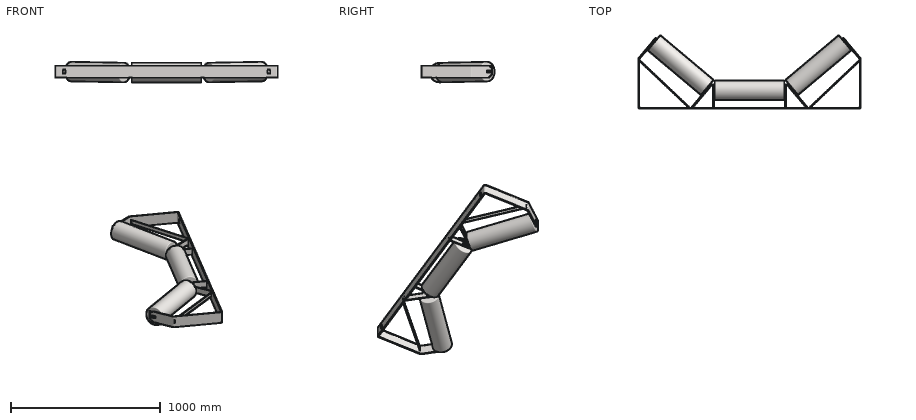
import cadquery as cq
import math

OVERALL_WIDTH = 1490.0
PLATE = 8.0
STRIP_HEIGHT = 80.0
BEND_RADIUS = 6.0

ROLLER_DIAMETER = 133.0
ROLLER_LENGTH = 465.0
ROLLER_EDGE_RADIUS = 5.0
END_GAP = 4.8

SHAFT_DEPTH = 25.0
SHAFT_FLATS = 15.0

TROUGH_ANGLE = 40.0
WING_TILT = 0.8
WING_X = 460.0
WING_Y = 292.0
WING_Z = -3.0
CENTER_Y = 124.0
CENTER_Z = -6.7

ARM_TIP = 33.0
TIP_CHAMFER_LENGTH = 27.0
TIP_CHAMFER_DEPTH = 22.0
TIP_CLEARANCE = 12.0
BRACKET_TOP_Y = 165.0
BRACKET_HEIGHT = 45.0
BRACKET_Z = -3.0

BRACE_HEIGHT = 30.0
BRACE_PLATE = 5.2
BRACE_TOP_Y = 328.0
BRACE_FOOT_X = 400.0

HOLE_X = 684.0
HOLE_WIDTH = 18.0
HOLE_LENGTH = 28.0

HALF_WIDTH = OVERALL_WIDTH / 2
PLATE_NEAR = ROLLER_LENGTH / 2 + END_GAP
PLATE_FAR = PLATE_NEAR + PLATE
COS_TROUGH = math.cos(math.radians(TROUGH_ANGLE))
SIN_TROUGH = math.sin(math.radians(TROUGH_ANGLE))


def wing_point(along, across):
    """XY point of the right wing: outward along the roller axis, then up across it."""
    x = WING_X + along * COS_TROUGH - across * SIN_TROUGH
    y = WING_Y + along * SIN_TROUGH + across * COS_TROUGH
    return (x, y)


def wing_line_at_y(along, y):
    """XY point at height y on the line square to the right wing axis."""
    across = (y - WING_Y - along * SIN_TROUGH) / COS_TROUGH
    return wing_point(along, across)


def wing_line_at_x(along, x):
    """XY point at x on the line square to the right wing axis."""
    across = (WING_X + along * COS_TROUGH - x) / SIN_TROUGH
    return wing_point(along, across)


def mirrored(points):
    """The same points on the left side, in reverse order."""
    return [(-x, y) for x, y in reversed(points)]


def plate_from_outline(points, height):
    """Plate of the given Z height, centered on Z = 0."""
    return cq.Workplane("XY").polyline(points).close().extrude(height / 2, both=True)


def make_shaft():
    """Shaft along X with an obround section, as long as the span over both plates."""
    shaft = cq.Workplane("YZ", origin=(-PLATE_FAR, 0, 0))
    return shaft.slot2D(SHAFT_DEPTH, SHAFT_FLATS).extrude(2 * PLATE_FAR)


def make_roller():
    """Roller with its shaft ends, centered on the origin with its axis along X."""
    shell = cq.Workplane("YZ", origin=(-ROLLER_LENGTH / 2, 0, 0))
    shell = shell.circle(ROLLER_DIAMETER / 2).extrude(ROLLER_LENGTH)
    shell = shell.faces("<X or >X").edges().fillet(ROLLER_EDGE_RADIUS)
    return shell.union(make_shaft())


def place_center(body):
    return body.translate((0, CENTER_Y, CENTER_Z))


def place_wing(body, side):
    """Move a body from the origin to the right (+1) or left (-1) wing."""
    body = body.rotate((0, 0, 0), (0, 1, 0), -side * WING_TILT)
    body = body.rotate((0, 0, 0), (0, 0, 1), side * TROUGH_ANGLE)
    return body.translate((side * WING_X, WING_Y, WING_Z))


def make_slot_cutter(tip):
    """Slots for the shaft ends of a roller at the origin, open past plate tips at Y = tip."""
    above = tip + TIP_CLEARANCE
    opening = cq.Workplane("XY").box(2 * PLATE_FAR, above, SHAFT_FLATS).translate((0, above / 2, 0))
    return make_shaft().union(opening)


def make_chamfer_cutter():
    """Two wedges that chamfer the tip corners of the arm beside a wing roller at the origin."""
    half = STRIP_HEIGHT / 2
    above = ARM_TIP + TIP_CLEARANCE
    wedge_outline = [
        (ARM_TIP - TIP_CHAMFER_LENGTH, half),
        (ARM_TIP, half - TIP_CHAMFER_DEPTH),
        (above, half - TIP_CHAMFER_DEPTH),
        (above, half + TIP_CLEARANCE),
        (ARM_TIP - TIP_CHAMFER_LENGTH, half + TIP_CLEARANCE),
    ]
    wedge = cq.Workplane("YZ").polyline(wedge_outline).close().extrude(PLATE_FAR, both=True)
    return wedge.union(wedge.mirror("XY"))


def make_strip():
    """Base, outer legs and outer arms, bent from one strip."""
    outer = [(HALF_WIDTH, 0), wing_line_at_x(PLATE_FAR, HALF_WIDTH), wing_point(PLATE_FAR, ARM_TIP)]
    inner_x = HALF_WIDTH - PLATE
    inner = [wing_point(PLATE_NEAR, ARM_TIP), wing_line_at_x(PLATE_NEAR, inner_x), (inner_x, PLATE)]
    right = outer + inner
    strip = plate_from_outline(right + mirrored(right), STRIP_HEIGHT)
    for side in (-1, 1):
        for corner, radius in (
            (outer[0], BEND_RADIUS + PLATE),
            (outer[1], BEND_RADIUS + PLATE),
            (inner[1], BEND_RADIUS),
            (inner[2], BEND_RADIUS),
        ):
            near = cq.selectors.NearestToPointSelector((side * corner[0], corner[1], 0))
            strip = strip.edges("|Z").edges(near).fillet(radius)
        strip = strip.cut(place_wing(make_chamfer_cutter(), side))
    return strip


def make_bracket():
    """Right inner bracket: sloping plate, short top and upright leg."""
    under_top = BRACKET_TOP_Y - PLATE
    outline = [
        (PLATE_NEAR, PLATE),
        (PLATE_NEAR, BRACKET_TOP_Y),
        wing_line_at_y(-PLATE_NEAR, BRACKET_TOP_Y),
        wing_line_at_y(-PLATE_NEAR, PLATE),
        wing_line_at_y(-PLATE_FAR, PLATE),
        wing_line_at_y(-PLATE_FAR, under_top),
        (PLATE_FAR, under_top),
        (PLATE_FAR, PLATE),
    ]
    return plate_from_outline(outline, BRACKET_HEIGHT).translate((0, 0, BRACKET_Z))


def make_brace():
    """Right brace from the outer leg down to the base."""
    leg_x = HALF_WIDTH - PLATE
    slope = math.atan2(BRACE_TOP_Y - PLATE, leg_x - BRACE_FOOT_X)
    outline = [
        (BRACE_FOOT_X, PLATE),
        (leg_x, BRACE_TOP_Y),
        (leg_x, BRACE_TOP_Y - BRACE_PLATE / math.cos(slope)),
        (BRACE_FOOT_X + BRACE_PLATE / math.sin(slope), PLATE),
    ]
    return plate_from_outline(outline, BRACE_HEIGHT)


def make_frame():
    frame = make_strip()
    for side in (-1, 1):
        bracket = make_bracket()
        brace = make_brace()
        if side < 0:
            bracket = bracket.mirror("YZ")
            brace = brace.mirror("YZ")
        frame = frame.union(bracket).union(brace)
    frame = frame.cut(place_center(make_slot_cutter(BRACKET_TOP_Y - CENTER_Y)))
    for side in (-1, 1):
        frame = frame.cut(place_wing(make_slot_cutter(ARM_TIP), side))
    holes = (
        cq.Workplane("XZ")
        .pushPoints([(-HOLE_X, 0), (HOLE_X, 0)])
        .slot2D(HOLE_LENGTH, HOLE_WIDTH, 90)
        .extrude(PLATE, both=True)
    )
    return frame.cut(holes)


frame = make_frame()
center_roller = place_center(make_roller())
wing_rollers = [place_wing(make_roller(), side) for side in (-1, 1)]

result = cq.Compound.makeCompound(
    [frame.val(), center_roller.val(), *[roller.val() for roller in wing_rollers]]
)